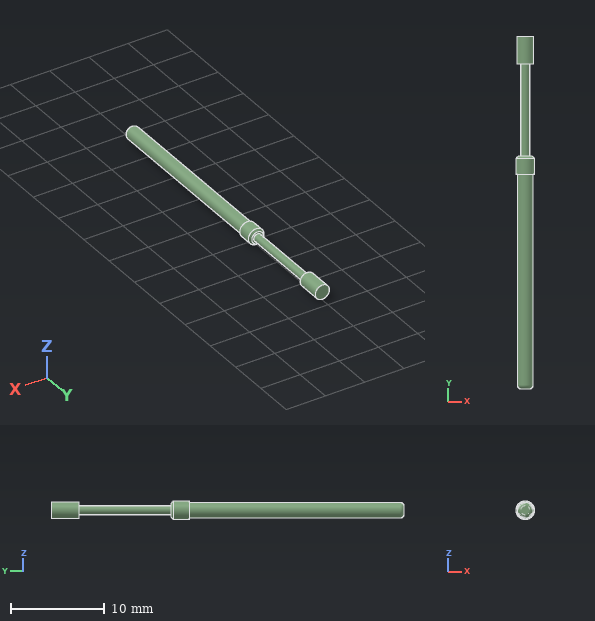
import cadquery as cq

total_length = 37.8
barrel_diameter = 1.7
barrel_end_fillet = 0.4
collar_diameter = 2.0
collar_length = 1.95
collar_chamfer = 0.25
plunger_diameter = 1.0
head_diameter = 1.8
head_length = 3.0
barrel_length = 23.02

barrel_end_y = -total_length / 2
collar_start_y = barrel_end_y + barrel_length
collar_end_y = collar_start_y + collar_length
head_end_y = total_length / 2
head_start_y = head_end_y - head_length


def rod(diameter, start_y, end_y):
    """Solid cylinder on the Y axis between two stations."""
    length = end_y - start_y
    return cq.Workplane("XZ", origin=(0, start_y, 0)).circle(diameter / 2).extrude(-length)


barrel = rod(barrel_diameter, barrel_end_y, collar_start_y)
barrel = barrel.faces("<Y").edges().fillet(barrel_end_fillet)

collar = rod(collar_diameter, collar_start_y, collar_end_y)
collar = collar.faces(">Y").edges().chamfer(collar_chamfer)

plunger = rod(plunger_diameter, collar_end_y, head_start_y)
head = rod(head_diameter, head_start_y, head_end_y)

result = barrel.union(collar).union(plunger).union(head)